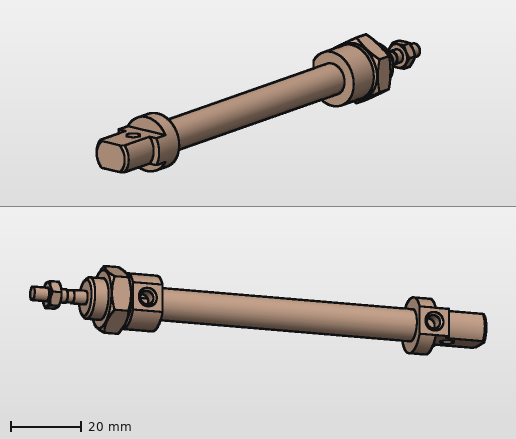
import cadquery as cq
import math

LENGTH = 136.0

HEAD_DIAMETER = 16.0
HEAD_LENGTH = 9.0
FLAT_HEIGHT = 8.0
FLAT_X = -math.sqrt((HEAD_DIAMETER / 2) ** 2 - (FLAT_HEIGHT / 2) ** 2)

LUG_DIAMETER = 12.0
LUG_LENGTH = 12.0
LUG_THICKNESS = FLAT_HEIGHT
LUG_CUT_LENGTH = 16.0
LUG_HOLE_DIAMETER = 4.0
LUG_HOLE_Y = 10.0
END_CHAMFER = 0.8

TUBE_DIAMETER = 9.2
REAR_HEAD_END = LUG_LENGTH + HEAD_LENGTH
FRONT_HEAD_START = 99.0
FRONT_HEAD_END = FRONT_HEAD_START + HEAD_LENGTH
NECK_DIAMETER = LUG_DIAMETER
NECK_END = FRONT_HEAD_END + 12.0

PORT_DIAMETER = 4.0
PORT_MOUTH_DIAMETER = 5.5
PORT_CHAMFER = (PORT_MOUTH_DIAMETER - PORT_DIAMETER) / 2
PORT_DEPTH = 5.2
REAR_PORT_Y = LUG_LENGTH + HEAD_LENGTH / 2
FRONT_PORT_Y = FRONT_HEAD_START + HEAD_LENGTH / 2

ROD_DIAMETER = 4.0
GROOVE_DIAMETER = 3.5
GROOVE_WIDTH = 2.0
GROOVE_START = 123.9

NECK_NUT_FLATS = 17.0
NECK_NUT_FACE_DIAMETER = 16.6
NECK_NUT_WIDTH = 6.0
NECK_NUT_START = 109.1
ROD_NUT_FLATS = 7.1
ROD_NUT_FACE_DIAMETER = 7.0
ROD_NUT_WIDTH = 3.3
ROD_NUT_START = 128.4
NUT_CHAMFER_ANGLE = math.radians(30)


def cylinder_y(diameter, start, end):
    """Cylinder on the Y axis between two Y positions."""
    plane = cq.Plane(origin=(0, start, 0), xDir=(1, 0, 0), normal=(0, 1, 0))
    return cq.Workplane(plane).circle(diameter / 2).extrude(end - start)


def port_flat(start):
    """Block that mills the flat on the -X side of a head."""
    depth = HEAD_DIAMETER
    return cq.Workplane("XY").box(
        depth, HEAD_LENGTH, HEAD_DIAMETER, centered=(False, False, True)
    ).translate((FLAT_X - depth, start, 0))


def port(y):
    """Blind port with a 45 degree chamfered mouth, entering from the flat."""
    radius = PORT_DIAMETER / 2
    profile = (
        cq.Workplane("XY", origin=(FLAT_X, y, 0))
        .moveTo(0, 0)
        .lineTo(0, PORT_MOUTH_DIAMETER / 2)
        .lineTo(PORT_CHAMFER, radius)
        .lineTo(PORT_DEPTH, radius)
        .lineTo(PORT_DEPTH, 0)
        .close()
    )
    return profile.revolve(360, (0, 0, 0), (1, 0, 0))


def make_housing():
    """Tube, heads, threaded neck and rear lug in one solid."""
    lug = cylinder_y(LUG_DIAMETER, 0, LUG_LENGTH).faces("<Y").chamfer(END_CHAMFER)
    neck = cylinder_y(NECK_DIAMETER, FRONT_HEAD_END, NECK_END).faces(">Y").chamfer(END_CHAMFER)
    rear_head = cylinder_y(HEAD_DIAMETER, LUG_LENGTH, REAR_HEAD_END).cut(port_flat(LUG_LENGTH))
    front_head = cylinder_y(HEAD_DIAMETER, FRONT_HEAD_START, FRONT_HEAD_END)
    front_head = front_head.cut(port_flat(FRONT_HEAD_START))
    tube = cylinder_y(TUBE_DIAMETER, REAR_HEAD_END, FRONT_HEAD_START)
    body = lug.union(rear_head).union(tube).union(front_head).union(neck)

    for side in (-1, 1):
        cheek = cq.Workplane("XY").box(
            HEAD_DIAMETER, LUG_CUT_LENGTH, HEAD_DIAMETER, centered=(True, False, True)
        )
        body = body.cut(cheek.translate((0, 0, side * (LUG_THICKNESS + HEAD_DIAMETER) / 2)))

    pivot_hole = (
        cq.Workplane("XY", origin=(0, LUG_HOLE_Y, 0))
        .circle(LUG_HOLE_DIAMETER / 2)
        .extrude(LUG_THICKNESS, both=True)
    )
    body = body.cut(pivot_hole)

    for y in (REAR_PORT_Y, FRONT_PORT_Y):
        body = body.cut(port(y))

    return body.cut(cylinder_y(ROD_DIAMETER, FRONT_HEAD_START, NECK_END))


def make_rod():
    """Rod running from the back of the front head to the tip, with a shallow groove."""
    groove_end = GROOVE_START + GROOVE_WIDTH
    back = cylinder_y(ROD_DIAMETER, FRONT_HEAD_START, GROOVE_START)
    waist = cylinder_y(GROOVE_DIAMETER, GROOVE_START, groove_end)
    tip = cylinder_y(ROD_DIAMETER, groove_end, LENGTH)
    return back.union(waist).union(tip)


def make_nut(flats, face_diameter, bore, start, width, turn):
    """Hexagon nut on Y with 30 degree corner chamfers; turn 0 puts corners on the X axis."""
    corner_diameter = flats / math.cos(math.pi / 6)
    corner_radius = corner_diameter / 2
    face_radius = face_diameter / 2
    chamfer = (corner_radius - face_radius) * math.tan(NUT_CHAMFER_ANGLE)
    plane = cq.Plane(origin=(0, start, 0), xDir=(1, 0, 0), normal=(0, 1, 0))
    hexagon = cq.Workplane(plane).polygon(6, corner_diameter).extrude(width)
    hexagon = hexagon.rotate((0, 0, 0), (0, 1, 0), turn)
    envelope = (
        cq.Workplane("XY", origin=(0, start, 0))
        .moveTo(0, 0)
        .lineTo(face_radius, 0)
        .lineTo(corner_radius, chamfer)
        .lineTo(corner_radius, width - chamfer)
        .lineTo(face_radius, width)
        .lineTo(0, width)
        .close()
        .revolve(360, (0, 0, 0), (0, 1, 0))
    )
    return hexagon.intersect(envelope).cut(cylinder_y(bore, start, start + width))


housing = make_housing()
rod = make_rod()
neck_nut = make_nut(
    NECK_NUT_FLATS, NECK_NUT_FACE_DIAMETER, NECK_DIAMETER, NECK_NUT_START, NECK_NUT_WIDTH, turn=30
)
rod_nut = make_nut(
    ROD_NUT_FLATS, ROD_NUT_FACE_DIAMETER, ROD_DIAMETER, ROD_NUT_START, ROD_NUT_WIDTH, turn=0
)

result = cq.Compound.makeCompound([housing.val(), rod.val(), neck_nut.val(), rod_nut.val()])